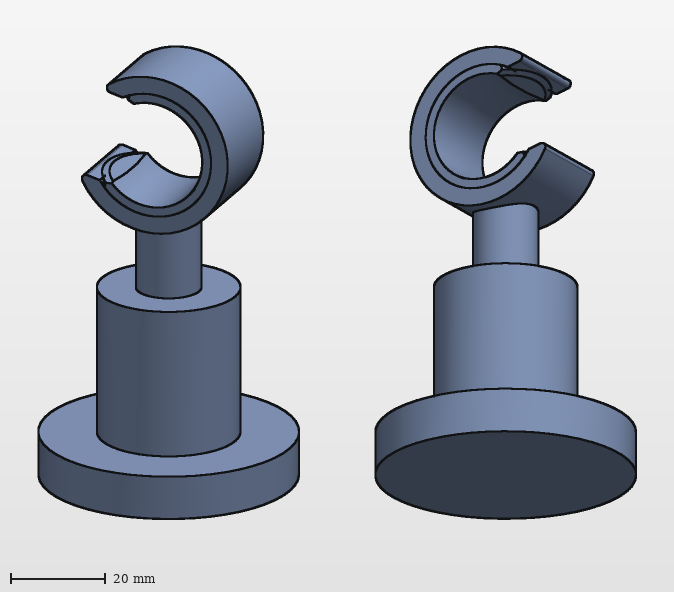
import cadquery as cq
import math

BASE_RADIUS = 27.51
BASE_HEIGHT = 9.5
COLUMN_RADIUS = 15.2
COLUMN_HEIGHT = 32.5
COLUMN_TOP = BASE_HEIGHT + COLUMN_HEIGHT

TOTAL_HEIGHT = 92.5
CLIP_RADIUS = 17.5
CLIP_BORE_RADIUS = 13.7
CLIP_WIDTH = 20.0
CLIP_CENTRE_Z = TOTAL_HEIGHT - CLIP_RADIUS
POST_RADIUS = 6.9
MOUTH_TILT = 15.0
MOUTH_HALF_HEIGHT = 10.0
TIP_FILLET = 1.0

LINER_END_RADIUS = 11.65
LINER_WAIST_RADIUS = 11.24
LINER_MOUTH_HALF_HEIGHT = 9.4

DRUM_RADIUS = 15.0
DRUM_NECK_RADIUS = 13.5
DRUM_OFFSET = 3.2

REACH = 2 * CLIP_RADIUS


def place_clip_part(shape):
    """Move a shape from the clip's own axes (mouth towards -X) to its place above the column."""
    tilted = shape.rotate((0, 0, 0), (0, 1, 0), MOUTH_TILT)
    return tilted.translate((0, 0, CLIP_CENTRE_Z))


def cylinder_along_y(radius):
    return cq.Workplane("XZ").circle(radius).extrude(CLIP_WIDTH / 2, both=True)


def mouth_block(half_height):
    """Block from the clip axis out through the mouth."""
    block = cq.Workplane("XY").box(REACH, REACH, 2 * half_height)
    return block.translate((-REACH / 2, 0, 0))


def make_base():
    return cq.Workplane("XY").circle(BASE_RADIUS).extrude(BASE_HEIGHT)


def make_column():
    return cq.Workplane("XY").workplane(offset=BASE_HEIGHT).circle(COLUMN_RADIUS).extrude(COLUMN_HEIGHT)


def clip_ring():
    """Open ring with rounded tips, in the clip's own axes."""
    ring = cylinder_along_y(CLIP_RADIUS).cut(mouth_block(MOUTH_HALF_HEIGHT))
    tip_x = -math.sqrt(CLIP_RADIUS**2 - MOUTH_HALF_HEIGHT**2)
    for side in (1, -1):
        tip = cq.selectors.NearestToPointSelector((tip_x, 0, side * MOUTH_HALF_HEIGHT))
        ring = ring.edges("|Y").edges(tip).fillet(TIP_FILLET)
    return ring.cut(cylinder_along_y(CLIP_BORE_RADIUS))


def make_clip():
    post = cq.Workplane("XY").workplane(offset=COLUMN_TOP).circle(POST_RADIUS)
    post = post.extrude(CLIP_CENTRE_Z - COLUMN_TOP)
    bore = place_clip_part(cylinder_along_y(CLIP_BORE_RADIUS))
    return place_clip_part(clip_ring()).union(post.cut(bore))


def waisted_bore():
    """Bore along Y that narrows along an arc from both ends to mid-width."""
    half = CLIP_WIDTH / 2
    return (
        cq.Workplane("XY")
        .moveTo(0, -half)
        .lineTo(LINER_END_RADIUS, -half)
        .threePointArc((LINER_WAIST_RADIUS, 0), (LINER_END_RADIUS, half))
        .lineTo(0, half)
        .close()
        .revolve(360, (0, 0, 0), (0, 1, 0))
    )


def liner_limit():
    """Drum that bounds the liner's ends, plus a block that leaves the closed half whole."""
    drum = (
        cq.Workplane("XZ")
        .moveTo(0, -REACH)
        .lineTo(DRUM_RADIUS, -REACH)
        .lineTo(DRUM_RADIUS, -MOUTH_HALF_HEIGHT)
        .lineTo(DRUM_NECK_RADIUS, -LINER_MOUTH_HALF_HEIGHT)
        .lineTo(DRUM_NECK_RADIUS, LINER_MOUTH_HALF_HEIGHT)
        .lineTo(DRUM_RADIUS, MOUTH_HALF_HEIGHT)
        .lineTo(DRUM_RADIUS, REACH)
        .lineTo(0, REACH)
        .close()
        .revolve(360, (0, 0, 0), (0, 1, 0))
        .translate((DRUM_OFFSET, 0, 0))
    )
    closed_half = cq.Workplane("XY").box(REACH, REACH, 2 * REACH).translate((REACH / 2, 0, 0))
    return drum.union(closed_half)


def make_liner():
    lips = cylinder_along_y(CLIP_RADIUS).intersect(mouth_block(MOUTH_HALF_HEIGHT))
    blank = cylinder_along_y(CLIP_BORE_RADIUS).union(lips).intersect(liner_limit())
    liner = blank.cut(mouth_block(LINER_MOUTH_HALF_HEIGHT)).cut(waisted_bore())
    return place_clip_part(liner)


base = make_base()
column = make_column()
clip = make_clip()
liner = make_liner()

result = cq.Compound.makeCompound([base.val(), column.val(), *clip.solids().vals(), *liner.solids().vals()])